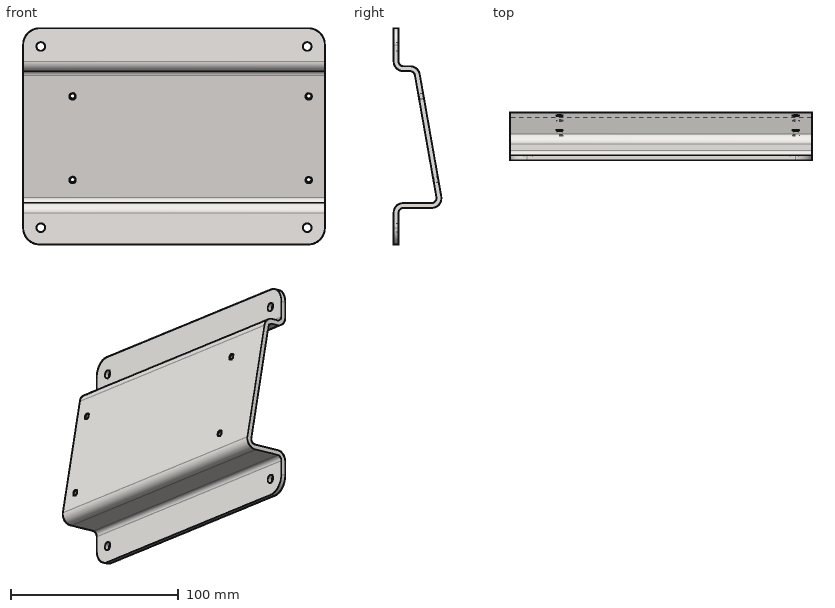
import cadquery as cq
import math

length = 180.0
depth = 28.6
height = 129.0

thickness = 3.0
inner_radius = 2.9
outer_radius = inner_radius + thickness
web_tilt = 10.0

lower_shelf_top = 24.8
upper_shelf_bottom = 103.3

corner_radius = 10.0
flange_hole_diameter = 5.0
flange_hole_side_inset = 10.6
flange_hole_low = 10.0
flange_hole_spacing = 108.0

web_hole_diameter = 3.2
web_hole_chamfer = 0.4
web_hole_left = 29.5
web_hole_right = 170.3
web_hole_low = 38.7
web_hole_high = 88.5

tilt = math.radians(web_tilt)
upper_web_z = upper_shelf_bottom - inner_radius
lower_web_z = lower_shelf_top + inner_radius
lower_web_y = depth - outer_radius
upper_web_y = lower_web_y - (upper_web_z - lower_web_z) * math.tan(tilt)

lower_flange_bend = (outer_radius, lower_shelf_top - outer_radius)
lower_web_bend = (lower_web_y, lower_web_z)
upper_web_bend = (upper_web_y, upper_web_z)
upper_flange_bend = (outer_radius, upper_shelf_bottom + outer_radius)


def polar(centre, radius, degrees):
    """Point on a circle in the YZ plane, with the angle measured from +Y."""
    angle = math.radians(degrees)
    return (centre[0] + radius * math.cos(angle), centre[1] + radius * math.sin(angle))


def add_bend(outline, centre, radius, start, end):
    """Run straight to the start of a bend, then follow its arc to the end."""
    return outline.lineTo(*polar(centre, radius, start)).threePointArc(
        polar(centre, radius, (start + end) / 2), polar(centre, radius, end)
    )


def bent_sheet():
    """Bent profile in the YZ plane, run along the whole length."""
    outline = cq.Workplane("YZ").moveTo(0, 0)
    outline = add_bend(outline, lower_flange_bend, outer_radius, 180, 90)
    outline = add_bend(outline, lower_web_bend, inner_radius, -90, web_tilt)
    outline = add_bend(outline, upper_web_bend, inner_radius, web_tilt, 90)
    outline = add_bend(outline, upper_flange_bend, outer_radius, 270, 180)
    outline = outline.lineTo(0, height).lineTo(thickness, height)
    outline = add_bend(outline, upper_flange_bend, inner_radius, 180, 270)
    outline = add_bend(outline, upper_web_bend, outer_radius, 90, web_tilt)
    outline = add_bend(outline, lower_web_bend, outer_radius, web_tilt, -90)
    outline = add_bend(outline, lower_flange_bend, inner_radius, 90, 180)
    outline = outline.lineTo(thickness, 0).close()
    return outline.extrude(length)


def flange_holes():
    """Four holes through the flanges, one near each corner."""
    points = [
        (x, z)
        for x in (flange_hole_side_inset, length - flange_hole_side_inset)
        for z in (flange_hole_low, flange_hole_low + flange_hole_spacing)
    ]
    holes = cq.Workplane("XZ").pushPoints(points).circle(flange_hole_diameter / 2)
    return holes.extrude(-thickness)


def web_holes():
    """Four holes through the web, square to its surface and chamfered at both mouths."""
    throat = web_hole_diameter / 2
    mouth = throat + web_hole_chamfer
    half_section = [
        (0, 0),
        (mouth, 0),
        (throat, web_hole_chamfer),
        (throat, thickness - web_hole_chamfer),
        (mouth, thickness),
        (0, thickness),
    ]
    x_axis = cq.Vector(1, 0, 0)
    web_normal = cq.Vector(0, math.cos(tilt), math.sin(tilt))
    mid_y, mid_z = polar(lower_web_bend, inner_radius + thickness / 2, web_tilt)
    holes = cq.Workplane("XY")
    for x in (web_hole_left, web_hole_right):
        for z in (web_hole_low, web_hole_high):
            centre = cq.Vector(x, mid_y - (z - mid_z) * math.tan(tilt), z)
            front_mouth = centre - web_normal * (thickness / 2)
            hole_plane = cq.Plane(front_mouth, xDir=x_axis, normal=x_axis.cross(web_normal))
            hole = cq.Workplane(hole_plane).polyline(half_section).close().revolve(360, (0, 0), (0, 1))
            holes = holes.add(hole)
    return holes.combine()


plate = bent_sheet().edges("|Y and (<Z or >Z)").fillet(corner_radius)
result = plate.cut(flange_holes()).cut(web_holes())